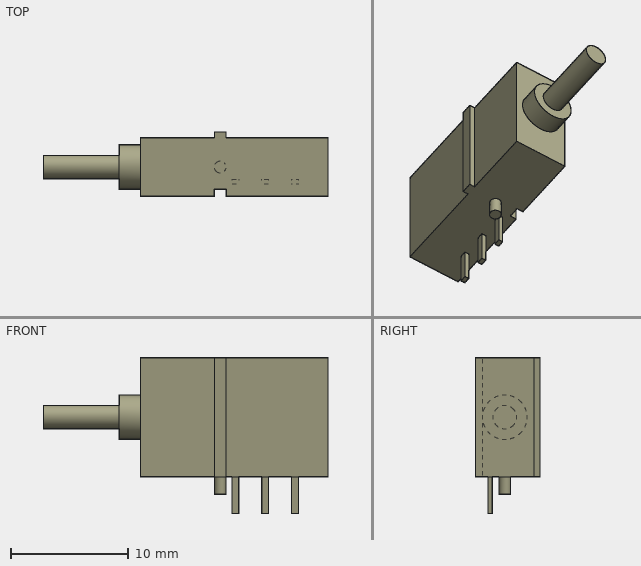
import cadquery as cq

housing_length = 16.0
housing_width = 5.0
housing_height = 10.16

key_start = 6.3
key_width = 1.0
rib_height = 0.5
groove_depth = 0.6

bushing_diameter = 3.8
bushing_length = 1.8
shaft_diameter = 2.0
shaft_exposed_length = 6.46
axis_height = housing_height / 2

peg_diameter = 1.0
peg_length = 1.5

pin_count = 3
pin_pitch = 2.54
pin_width = 0.6
pin_thickness = 0.4
pin_length = 3.14
first_pin_x = 8.1
pin_y = -1.25

key_x = key_start + key_width / 2


def make_key(depth, y_start):
    """Full-height bar at the key position, reaching from y_start by depth in +Y."""
    return (
        cq.Workplane("XY")
        .box(key_width, depth, housing_height, centered=(True, False, False))
        .translate((key_x, y_start, 0))
    )


def make_axial_cylinder(diameter, length):
    """Cylinder on the shaft axis, running from the shaft-side end face toward -X."""
    return (
        cq.Workplane("YZ")
        .center(0, axis_height)
        .circle(diameter / 2)
        .extrude(-length)
    )


def make_housing():
    """Block with its rib, groove, bushing, shaft and locating peg as one solid."""
    block = cq.Workplane("XY").box(
        housing_length, housing_width, housing_height, centered=(False, True, False)
    )
    rib = make_key(rib_height, housing_width / 2)
    groove = make_key(groove_depth, -housing_width / 2)
    bushing = make_axial_cylinder(bushing_diameter, bushing_length)
    shaft = make_axial_cylinder(shaft_diameter, bushing_length + shaft_exposed_length)
    peg = cq.Workplane("XY").center(key_x, 0).circle(peg_diameter / 2).extrude(-peg_length)
    return block.union(rib).cut(groove).union(bushing).union(shaft).union(peg)


def make_pin(x):
    """Flat terminal pin hanging from the underside of the housing."""
    return (
        cq.Workplane("XY")
        .center(x, pin_y)
        .rect(pin_width, pin_thickness)
        .extrude(-pin_length)
    )


housing = make_housing()
pins = [make_pin(first_pin_x + index * pin_pitch) for index in range(pin_count)]

result = cq.Compound.makeCompound([housing.val(), *[pin.val() for pin in pins]])